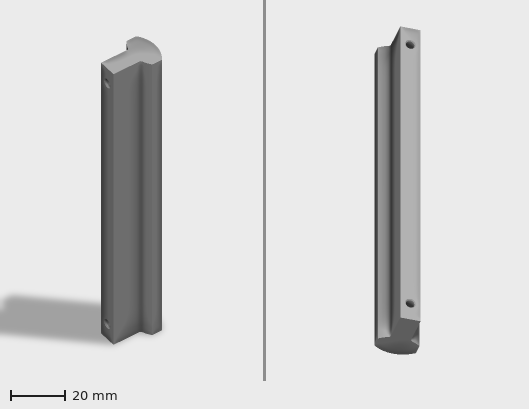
import cadquery as cq
import math

length = 135.0
depth = 22.0
head_width = 16.0
stem_width = 7.8
head_side_front = 14.7
head_side_back = 19.2
neck_fillet = 1.0

hole_diameter = 3.2
hole_mouth_diameter = 4.0
hole_depth = 10.8
hole_spacing = 120.0
drill_tip_angle = 118.0

half_head = head_width / 2
half_stem = stem_width / 2
crown_rise = depth - head_side_back


def make_bar():
    """T-shaped bar whose head has matching arcs on its back and underside."""
    head = (
        cq.Workplane("XY")
        .moveTo(-half_head, head_side_front)
        .threePointArc((0, head_side_front - crown_rise), (half_head, head_side_front))
        .lineTo(half_head, head_side_back)
        .threePointArc((0, depth), (-half_head, head_side_back))
        .close()
        .extrude(length)
    )
    stem = cq.Workplane("XY").rect(stem_width, head_side_front).extrude(length)
    stem = stem.translate((0, head_side_front / 2, 0))
    bar = head.union(stem)

    crown_radius = (half_head**2 + crown_rise**2) / (2 * crown_rise)
    arc_center_y = head_side_front - crown_rise + crown_radius
    neck_y = arc_center_y - math.sqrt(crown_radius**2 - half_stem**2)
    for x in (-half_stem, half_stem):
        corner = cq.selectors.NearestToPointSelector((x, neck_y, length / 2))
        bar = bar.edges(corner).fillet(neck_fillet)
    return bar


def make_hole_cutter(z):
    """Blind drilled hole entering the stem's front face, with a 45 degree mouth chamfer."""
    hole_radius = hole_diameter / 2
    mouth_radius = hole_mouth_diameter / 2
    tip_length = hole_radius / math.tan(math.radians(drill_tip_angle / 2))
    return (
        cq.Workplane("XY")
        .moveTo(0, 0)
        .lineTo(mouth_radius, 0)
        .lineTo(hole_radius, mouth_radius - hole_radius)
        .lineTo(hole_radius, hole_depth)
        .lineTo(0, hole_depth + tip_length)
        .close()
        .revolve(360, (0, 0, 0), (0, 1, 0))
        .translate((0, 0, z))
    )


result = make_bar()
for side in (-1, 1):
    result = result.cut(make_hole_cutter(length / 2 + side * hole_spacing / 2))